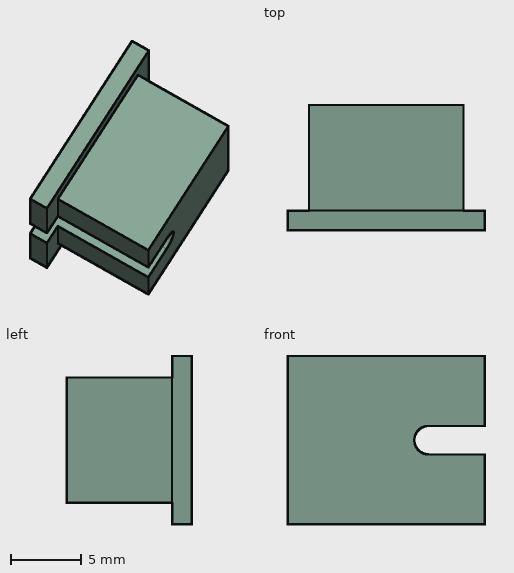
import cadquery as cq

flange_width = 14.0
flange_thickness = 1.4
flange_height = 11.95

block_width = 11.0
block_depth = 7.5
block_height = 8.9

slot_width = 2.0
slot_length = 5.0

total_depth = flange_thickness + block_depth
slot_radius = slot_width / 2
slot_straight = slot_length - slot_radius
slot_arc_x = flange_width / 2 - slot_straight


def make_flange():
    """Plate with its front face at Y = 0."""
    return cq.Workplane("XY").box(
        flange_width, flange_thickness, flange_height, centered=(True, False, True)
    )


def make_block():
    """Block standing on the back of the flange."""
    block = cq.Workplane("XY").box(
        block_width, block_depth, block_height, centered=(True, False, True)
    )
    return block.translate((0, flange_thickness, 0))


def make_slot_cutter():
    """Slot volume through the full depth of the part."""
    return (
        cq.Workplane("XZ")
        .moveTo(flange_width / 2, slot_radius)
        .lineTo(slot_arc_x, slot_radius)
        .threePointArc((slot_arc_x - slot_radius, 0), (slot_arc_x, -slot_radius))
        .lineTo(flange_width / 2, -slot_radius)
        .close()
        .extrude(-total_depth)
    )


result = make_flange().union(make_block()).cut(make_slot_cutter())